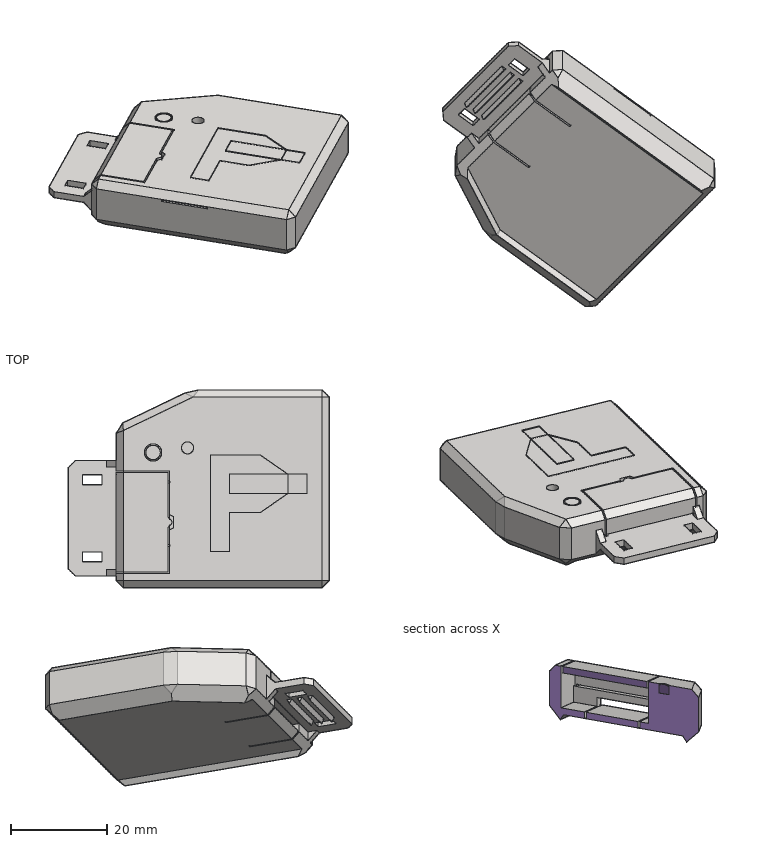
import cadquery as cq
import math

case_length = 44.2
case_width = 41.1
case_height = 10.5
edge_chamfer = 1.5
corner_cut_x = 15.6
corner_cut_y = 7.5
wall = 1.5

ridge_height = 1.16
ridge_base = 2.06
ridge_tip = 0.04
ridge_slope = 45.0

tab_length = 9.95
tab_width = 24.0
tab_start_y = 2.45
tab_bottom = 3.5
tab_thickness = 1.5
tab_top = tab_bottom + tab_thickness
tab_corner = 1.5
strap_slot_length = 4.0
strap_slot_width = 2.0
strap_slot_inset = 3.0
gusset_run = 2.0
gusset_width = 1.4
tooth_count = 3
tooth_pitch = 2.32
tooth_base = 1.1
tooth_height = 1.0
tooth_length = 12.0
first_tooth_x = -7.3
teeth_center_y = 14.5

lid_length = 10.75
lid_width = 20.7
lid_center_y = 13.63
lid_gap = 0.33
lid_notch_height = 0.45
lid_notch_side = 0.4
nose_half_width = 1.05
nose_tip_half_width = 0.2
nose_reach = nose_half_width - nose_tip_half_width
nose_socket_half_width = 1.55
nose_socket_tip_half_width = 1.15
compartment_length = lid_length + lid_gap
compartment_width = lid_width + 2 * lid_gap

window_width = 13.5
window_center_y = 15.4
window_top = 3.4
slit_width = 0.35

button_x = 7.65
button_y = 28.1
button_diameter = 3.6
button_height = 2.0
button_chamfer = 0.3
hole_x = 14.8
hole_y = 29.05
hole_diameter = 2.5
hole_depth = 2.0

recess_x = 19.55
recess_y = 7.6
recess_stroke = 4.0
recess_height = 5 * recess_stroke
recess_shoulder_x = 10.3
recess_end_x = 16.05
recess_depth = 0.2

groove_center_x = 20.55
groove_length = 10.0
groove_size = 0.5
groove_top = case_height - edge_chamfer

corner_slope = corner_cut_y / corner_cut_x
corner_factor = math.hypot(1, corner_slope)
corner_start_y = case_width - corner_cut_y


def block(x0, x1, y0, y1, z0, z1):
    return cq.Workplane("XY").box(x1 - x0, y1 - y0, z1 - z0, centered=False).translate((x0, y0, z0))


def corner_line_y(x, inset):
    """Y of the cut-off corner's side at x, moved inwards by inset."""
    return corner_start_y + corner_slope * x - inset * corner_factor


def corner_line_x(y, inset):
    """X of the cut-off corner's side at y, moved inwards by inset."""
    return (y - corner_line_y(0, inset)) / corner_slope


def outline(inset, x_start, x_end):
    """Case outline moved inwards by inset, between the given X limits."""
    y_low = inset
    y_high = case_width - inset
    return [
        (x_start, y_low),
        (x_end, y_low),
        (x_end, y_high),
        (corner_line_x(y_high, inset), y_high),
        (x_start, corner_line_y(x_start, inset)),
    ]


def point_towards(start, end, distance):
    """Point at the given distance from start on the straight line to end."""
    span = math.dist(start, end)
    return tuple(a + (b - a) * distance / span for a, b in zip(start, end))


def flat_face(points):
    return cq.Face.makeFromWires(cq.Wire.makePolygon([cq.Vector(*point) for point in points], close=True))


def case_blank():
    """Prism with every edge chamfered, so that each corner ends in a triangle at the top and bottom."""
    sharp = outline(0, 0, case_length)
    inner = outline(edge_chamfer, edge_chamfer, case_length - edge_chamfer)
    low = edge_chamfer
    high = case_height - edge_chamfer
    faces = [flat_face([(x, y, z) for x, y in inner]) for z in (0, case_height)]
    for index, corner in enumerate(sharp):
        before = sharp[index - 1]
        following = (index + 1) % len(sharp)
        after = sharp[following]
        start = point_towards(corner, before, edge_chamfer)
        end = point_towards(corner, after, edge_chamfer)
        side_end = point_towards(after, corner, edge_chamfer)
        for p, q in ((start, end), (end, side_end)):
            faces.append(flat_face([(*p, low), (*q, low), (*q, high), (*p, high)]))
        for rim, flat in ((low, 0), (high, case_height)):
            faces.append(flat_face([(*start, rim), (*end, rim), (*inner[index], flat)]))
            faces.append(flat_face([(*end, rim), (*side_end, rim), (*inner[following], flat),
                                    (*inner[index], flat)]))
    return cq.Workplane(cq.Solid.makeSolid(cq.Shell.makeShell(faces)))


def ridges():
    """Ridges along both long sides and the cut-off corner, left around a channel open at both X ends."""
    foot_points = outline(edge_chamfer, edge_chamfer, case_length - edge_chamfer)
    foot = cq.Workplane("XY").polyline(foot_points).close().extrude(-ridge_height, taper=ridge_slope)
    channel_run = ridge_base - ridge_height - ridge_tip
    channel_taper = math.degrees(math.atan2(channel_run, ridge_height))
    overrun = 5.0
    channel_points = outline(edge_chamfer + ridge_base, -overrun, case_length + overrun)
    channel = cq.Workplane("XY").polyline(channel_points).close().extrude(-ridge_height, taper=-channel_taper)
    return foot.cut(channel)


def mounting_tab():
    tab = block(-tab_length, 0, tab_start_y, tab_start_y + tab_width, tab_bottom, tab_top)
    tab = tab.edges("|Z and <X").chamfer(tab_corner)
    slot_x = strap_slot_inset - tab_length
    tab_end_y = tab_start_y + tab_width
    for slot_y in (tab_start_y + strap_slot_inset, tab_end_y - strap_slot_inset - strap_slot_width):
        tab = tab.cut(block(slot_x, slot_x + strap_slot_length, slot_y, slot_y + strap_slot_width,
                            tab_bottom, tab_top))
    for tooth in range(tooth_count):
        tab = tab.union(tab_tooth(first_tooth_x + tooth * tooth_pitch))
    for gusset_y in (tab_start_y, tab_end_y - gusset_width):
        tab = tab.union(tab_gusset(gusset_y))
    return tab


def tab_tooth(center_x):
    points = [
        (center_x - tooth_base / 2, tab_bottom),
        (center_x + tooth_base / 2, tab_bottom),
        (center_x, tab_bottom - tooth_height),
    ]
    profile = cq.Workplane("XZ").polyline(points).close()
    return profile.extrude(tooth_length / 2, both=True).translate((0, teeth_center_y, 0))


def tab_gusset(start_y):
    points = [
        (-gusset_run, tab_bottom),
        (0, tab_bottom - gusset_run),
        (0, tab_top + gusset_run),
        (-gusset_run, tab_top),
    ]
    return cq.Workplane("XZ").polyline(points).close().extrude(-gusset_width).translate((0, start_y, 0))


def nose_shape(start_x, half_width, tip_half_width, reach):
    """Tapered latch shape in the top layer, pointing along +X."""
    points = [
        (0, -half_width),
        (reach, -tip_half_width),
        (reach, tip_half_width),
        (0, half_width),
    ]
    nose = cq.Workplane("XY").polyline(points).close().extrude(wall)
    return nose.translate((start_x, lid_center_y, case_height - wall))


def compartment():
    """Lid opening and the space below it, behind the low front wall that carries the tab."""
    y0 = lid_center_y - compartment_width / 2
    y1 = lid_center_y + compartment_width / 2
    opening = block(0, compartment_length, y0, y1, tab_top, case_height)
    space = block(wall, compartment_length, y0, y1, wall, tab_top)
    socket = nose_shape(compartment_length, nose_socket_half_width, nose_socket_tip_half_width, nose_reach)
    return opening.union(space).union(socket)


def cable_window():
    y0 = window_center_y - window_width / 2
    y1 = window_center_y + window_width / 2
    window = block(0, wall, y0, y1, wall, window_top)
    for slit_y in (y0, y1 - slit_width):
        window = window.union(block(0, compartment_length, slit_y, slit_y + slit_width, 0, window_top))
    return window


def panel_recess():
    """Recess with a raised bar inside it and a plain pad past the bar's end."""
    bar_low = recess_height - 2 * recess_stroke
    points = [
        (0, 0),
        (recess_stroke, 0),
        (recess_stroke, bar_low - recess_stroke),
        (recess_shoulder_x, bar_low - recess_stroke),
        (recess_end_x, bar_low),
        (recess_end_x + recess_stroke, bar_low),
        (recess_end_x + recess_stroke, bar_low + recess_stroke),
        (recess_end_x, bar_low + recess_stroke),
        (recess_shoulder_x, recess_height),
        (0, recess_height),
    ]
    recess = cq.Workplane("XY").polyline(points).close().extrude(recess_depth)
    recess = recess.cut(block(recess_stroke, recess_end_x, bar_low, bar_low + recess_stroke, 0, recess_depth))
    return recess.translate((recess_x, recess_y, case_height - recess_depth))


def snap_groove():
    """Groove with a flat floor and a roof that slopes up to the wall's top edge."""
    points = [
        (0, groove_top),
        (0, groove_top - groove_size),
        (groove_size, groove_top - groove_size),
    ]
    profile = cq.Workplane("YZ").polyline(points).close()
    return profile.extrude(groove_length / 2, both=True).translate((groove_center_x, 0, 0))


def top_cylinder(x, y, diameter, depth):
    """Cylinder that reaches down from the top face."""
    return cq.Workplane("XY").circle(diameter / 2).extrude(depth).translate((x, y, case_height - depth))


def make_case():
    case = case_blank().union(ridges()).union(mounting_tab())
    case = case.cut(compartment()).cut(cable_window())
    case = case.cut(panel_recess()).cut(snap_groove())
    case = case.cut(top_cylinder(button_x, button_y, button_diameter, button_height))
    return case.cut(top_cylinder(hole_x, hole_y, hole_diameter, hole_depth))


def make_lid():
    """Cover plate with a front skirt that stands on the tab's root and a latch nose at the back."""
    y0 = lid_center_y - lid_width / 2
    y1 = lid_center_y + lid_width / 2
    plate = block(0, lid_length, y0, y1, case_height - wall, case_height)
    skirt = block(0, wall, y0, y1, tab_top, case_height)
    notch = block(0, wall, y0 + lid_notch_side, y1 - lid_notch_side, tab_top, tab_top + lid_notch_height)
    nose = nose_shape(lid_length, nose_half_width, nose_tip_half_width, nose_reach)
    return plate.union(skirt).cut(notch).union(nose).intersect(case_blank())


def make_button():
    button = top_cylinder(button_x, button_y, button_diameter, button_height)
    return button.faces(">Z").chamfer(button_chamfer)


case = make_case()
lid = make_lid()
button = make_button()

result = cq.Compound.makeCompound([body.solids().val() for body in (case, lid, button)])